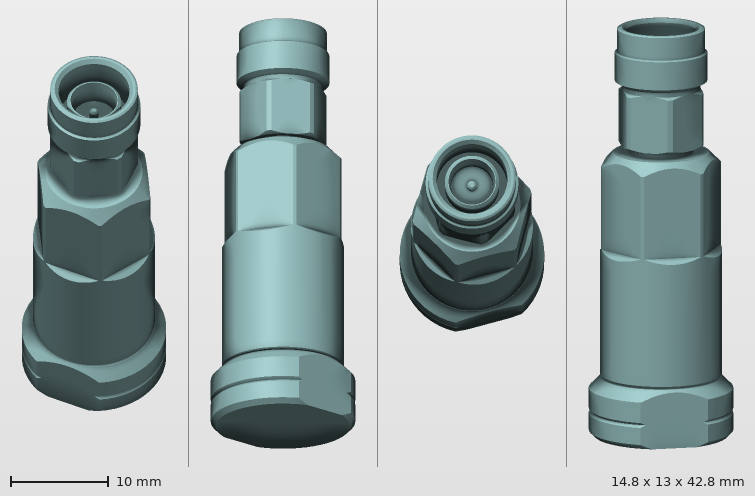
import cadquery as cq


TOTAL_HEIGHT = 42.8
COUPLING_TOP = 6.12
BARREL_BOTTOM = 6.3
BODY_HEX_BOTTOM = 19.75
BODY_HEX_TOP = 29.7
PLUG_HEX_BOTTOM = 30.4
PLUG_HEX_TOP = 36.35
PLUG_RING_BOTTOM = 36.8
PLUG_RING_TOP = 40.33
CAVITY_FLOOR = 38.3

HEX_SIDES = 6
HALF_SIDE_ANGLE = 180 / HEX_SIDES

COUPLING_RADIUS = 7.4
COUPLING_FLATS = 13.0
COUPLING_TOP_CHAMFER = 1.15
COUPLING_BOTTOM_CHAMFER = 0.5
COUPLING_GROOVE_HEIGHT = 2.55
COUPLING_GROOVE_DEPTH = 0.25
LOWER_NECK_RADIUS = 5.0

BARREL_RADIUS = 6.25
BARREL_BOTTOM_CHAMFER = 0.13
BODY_HEX_FLATS = 11.0
BODY_HEX_TOP_CHAMFER = 1.3
HEX_RUNOUT_HEIGHT = 0.5
UPPER_NECK_RADIUS = 3.35
FLANGE_RADIUS = 3.45
FLANGE_HEIGHT = 1.3
FERRULE_RADIUS = 2.8
FERRULE_TOP = 40.95
FERRULE_CHAMFER = 0.3
FERRULE_MOUTH_RADIUS = 2.4
SOCKET_TAPER_RADIUS = 2.2
SOCKET_TAPER_BOTTOM = 39.43
SOCKET_RADIUS = 2.15
SOCKET_STEP_BOTTOM = 39.0
PIN_RADIUS = 0.45
PIN_TIP_RADIUS = 0.25
PIN_TOP = 39.4

PLUG_TOP_RADIUS = 4.5
PLUG_EDGE_CHAMFER = 0.2
PLUG_EDGE_CHAMFER_HEIGHT = 0.13
PLUG_RING_RADIUS = 4.75
PLUG_RING_TAPER = 0.43
PLUG_RING_TOP_SLOPE = 0.13
PLUG_GROOVE_RADIUS = 4.05
PLUG_HEX_RADIUS = 4.5
PLUG_HEX_FLATS = 8.05
PLUG_HEX_CHAMFER = 0.25
CAVITY_RADIUS = 3.65
CAVITY_CHAMFER = 0.4


def revolved(profile):
    """Turn a closed list of (radius, height) points around the Z axis."""
    return cq.Workplane("XZ").polyline(profile).close().revolve(360, (0, 0, 0), (0, 1, 0))


def flat_cutter(profile, width):
    """A cutter on the +X side with the given (radius, height) profile, centred on Y = 0."""
    return cq.Workplane("XZ").polyline(profile).close().extrude(width / 2, both=True)


def cut_hex_flats(solid, profile, width, first_angle):
    """Cut six equal flats, the first one facing first_angle degrees from +X."""
    cutter = flat_cutter(profile, width)
    for side in range(HEX_SIDES):
        angle = first_angle + side * 360 / HEX_SIDES
        solid = solid.cut(cutter.rotate((0, 0, 0), (0, 0, 1), angle))
    return solid


def make_coupling_nut():
    groove_radius = COUPLING_RADIUS - COUPLING_GROOVE_DEPTH
    nut = revolved([
        (LOWER_NECK_RADIUS, 0),
        (COUPLING_RADIUS - COUPLING_BOTTOM_CHAMFER, 0),
        (COUPLING_RADIUS, COUPLING_BOTTOM_CHAMFER),
        (COUPLING_RADIUS, COUPLING_GROOVE_HEIGHT - COUPLING_GROOVE_DEPTH),
        (groove_radius, COUPLING_GROOVE_HEIGHT),
        (COUPLING_RADIUS, COUPLING_GROOVE_HEIGHT + COUPLING_GROOVE_DEPTH),
        (COUPLING_RADIUS, COUPLING_TOP - COUPLING_TOP_CHAMFER),
        (COUPLING_RADIUS - COUPLING_TOP_CHAMFER, COUPLING_TOP),
        (LOWER_NECK_RADIUS, COUPLING_TOP),
    ])
    flat_zone = cq.Workplane("XY").box(
        2 * COUPLING_RADIUS, COUPLING_FLATS, COUPLING_TOP, centered=(True, True, False)
    )
    return nut.intersect(flat_zone)


def make_body():
    body = revolved([
        (0, 0),
        (LOWER_NECK_RADIUS, 0),
        (LOWER_NECK_RADIUS, BARREL_BOTTOM),
        (BARREL_RADIUS - BARREL_BOTTOM_CHAMFER, BARREL_BOTTOM),
        (BARREL_RADIUS, BARREL_BOTTOM + BARREL_BOTTOM_CHAMFER),
        (BARREL_RADIUS, BODY_HEX_TOP - BODY_HEX_TOP_CHAMFER),
        (BARREL_RADIUS - BODY_HEX_TOP_CHAMFER, BODY_HEX_TOP),
        (UPPER_NECK_RADIUS, BODY_HEX_TOP),
        (UPPER_NECK_RADIUS, CAVITY_FLOOR - FLANGE_HEIGHT),
        (FLANGE_RADIUS, CAVITY_FLOOR - FLANGE_HEIGHT),
        (FLANGE_RADIUS, CAVITY_FLOOR),
        (FERRULE_RADIUS, CAVITY_FLOOR),
        (FERRULE_RADIUS, FERRULE_TOP - FERRULE_CHAMFER),
        (FERRULE_RADIUS - FERRULE_CHAMFER, FERRULE_TOP),
        (FERRULE_MOUTH_RADIUS, FERRULE_TOP),
        (SOCKET_TAPER_RADIUS, SOCKET_TAPER_BOTTOM),
        (SOCKET_RADIUS, SOCKET_STEP_BOTTOM),
        (SOCKET_RADIUS, CAVITY_FLOOR),
        (PIN_RADIUS, CAVITY_FLOOR),
        (PIN_RADIUS, PIN_TOP - (PIN_RADIUS - PIN_TIP_RADIUS)),
        (PIN_TIP_RADIUS, PIN_TOP),
        (0, PIN_TOP),
    ])
    flat_offset = BODY_HEX_FLATS / 2
    hex_flat_profile = [
        (flat_offset, BODY_HEX_TOP),
        (flat_offset, BODY_HEX_BOTTOM),
        (BARREL_RADIUS, BODY_HEX_BOTTOM - HEX_RUNOUT_HEIGHT),
        (BARREL_RADIUS, BODY_HEX_TOP),
    ]
    return cut_hex_flats(body, hex_flat_profile, 2 * BARREL_RADIUS, HALF_SIDE_ANGLE)


def make_plug_nut():
    nut = revolved([
        (UPPER_NECK_RADIUS, PLUG_HEX_BOTTOM),
        (PLUG_GROOVE_RADIUS, PLUG_HEX_BOTTOM),
        (PLUG_HEX_RADIUS, PLUG_HEX_BOTTOM + PLUG_HEX_CHAMFER),
        (PLUG_HEX_RADIUS, PLUG_HEX_TOP - PLUG_HEX_CHAMFER),
        (PLUG_GROOVE_RADIUS, PLUG_HEX_TOP),
        (PLUG_GROOVE_RADIUS, PLUG_RING_BOTTOM),
        (PLUG_RING_RADIUS, PLUG_RING_BOTTOM + PLUG_RING_TAPER),
        (PLUG_RING_RADIUS, PLUG_RING_TOP - PLUG_RING_TOP_SLOPE),
        (PLUG_TOP_RADIUS, PLUG_RING_TOP),
        (PLUG_TOP_RADIUS, TOTAL_HEIGHT - PLUG_EDGE_CHAMFER_HEIGHT),
        (PLUG_TOP_RADIUS - PLUG_EDGE_CHAMFER, TOTAL_HEIGHT),
        (CAVITY_RADIUS + CAVITY_CHAMFER, TOTAL_HEIGHT),
        (CAVITY_RADIUS, TOTAL_HEIGHT - CAVITY_CHAMFER),
        (CAVITY_RADIUS, CAVITY_FLOOR),
        (FLANGE_RADIUS, CAVITY_FLOOR),
        (FLANGE_RADIUS, CAVITY_FLOOR - FLANGE_HEIGHT),
        (UPPER_NECK_RADIUS, CAVITY_FLOOR - FLANGE_HEIGHT),
    ])
    flat_offset = PLUG_HEX_FLATS / 2
    hex_flat_profile = [
        (flat_offset, PLUG_HEX_BOTTOM),
        (PLUG_HEX_RADIUS, PLUG_HEX_BOTTOM),
        (PLUG_HEX_RADIUS, PLUG_HEX_TOP),
        (flat_offset, PLUG_HEX_TOP),
    ]
    return cut_hex_flats(nut, hex_flat_profile, 2 * PLUG_HEX_RADIUS, 0)


coupling_nut = make_coupling_nut()
body = make_body()
plug_nut = make_plug_nut()

result = cq.Compound.makeCompound([coupling_nut.val(), body.val(), plug_nut.val()])